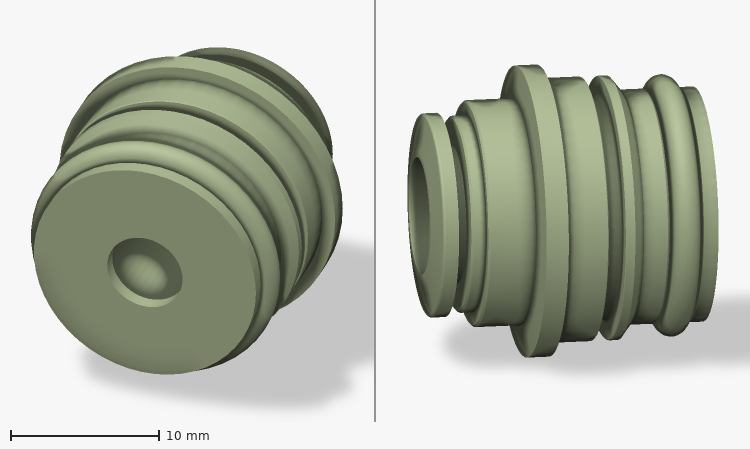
import cadquery as cq

LENGTH = 19.1

FRONT_DIA = 15.9
RING_GROOVE_DIA = 13.0
BODY_DIA = 17.9
BODY_GROOVE_DIA = 15.0
FLANGE_DIA = 19.75
SHOULDER_DIA = 15.35
COLLAR_DIA = 13.33
NECK_DIA = 9.35
CAP_DIA = 13.8
CAP_FLAT_DIA = 8.69
INLET_DIA = 5.4
BORE_DIA = 7.94

RING_GROOVE_START = 1.0
RING_GROOVE_END = 3.34
CONE_START = 5.12
CONE_END = 5.89
BODY_GROOVE_START = 6.54
BODY_GROOVE_END = 7.7
FLANGE_START = 10.63
FLANGE_RIM_END = 12.15
FLANGE_CONE_END = 12.48
SHOULDER_END = 15.72
COLLAR_END = 16.7
CAP_START = 17.62
CAP_RIM_END = 18.66
INLET_DEPTH = 1.0

EDGE_CHAMFER = 0.14
GROOVE_EDGE_CHAMFER = 0.05
GROOVE_FILLET = 0.28
NECK_FILLET = 0.34
CAP_FILLET = 0.2

RING_SECTION_DIA = 1.82
RING_CENTRE_RADIUS = 7.95

TOLERANCE = 0.002


def revolve_about_y(profile):
    """Turn a closed XY profile a full revolution about the Y axis."""
    return profile.revolve(360, (0, 0, 0), (0, 1, 0))


def cylinder(diameter, start, end):
    """Solid disc on the Y axis between two stations."""
    half_section = cq.Workplane("XY").moveTo(0, start).rect(diameter / 2, end - start, centered=False)
    return revolve_about_y(half_section)


class CircleAt(cq.Selector):
    """Select the circular edges with a given diameter at a given station."""

    def __init__(self, diameter, station):
        self.radius = diameter / 2
        self.station = station

    def filter(self, edges):
        return [edge for edge in edges if self.matches(edge)]

    def matches(self, edge):
        if edge.geomType() != "CIRCLE":
            return False
        same_radius = abs(edge.radius() - self.radius) < TOLERANCE
        same_station = abs(edge.arcCenter().y - self.station) < TOLERANCE
        return same_radius and same_station


def make_body():
    """Stepped outside of the fitting, with sharp edges."""
    steps = [
        (FRONT_DIA, 0),
        (FRONT_DIA, RING_GROOVE_START),
        (RING_GROOVE_DIA, RING_GROOVE_START),
        (RING_GROOVE_DIA, RING_GROOVE_END),
        (FRONT_DIA, RING_GROOVE_END),
        (FRONT_DIA, CONE_START),
        (BODY_DIA, CONE_END),
        (BODY_DIA, BODY_GROOVE_START),
        (BODY_GROOVE_DIA, BODY_GROOVE_START),
        (BODY_GROOVE_DIA, BODY_GROOVE_END),
        (BODY_DIA, BODY_GROOVE_END),
        (BODY_DIA, FLANGE_START),
        (FLANGE_DIA, FLANGE_START),
        (FLANGE_DIA, FLANGE_RIM_END),
        (SHOULDER_DIA, FLANGE_CONE_END),
        (SHOULDER_DIA, SHOULDER_END),
        (COLLAR_DIA, SHOULDER_END),
        (COLLAR_DIA, COLLAR_END),
        (NECK_DIA, COLLAR_END),
        (NECK_DIA, CAP_START),
        (CAP_DIA, CAP_START),
        (CAP_DIA, CAP_RIM_END),
        (CAP_FLAT_DIA, LENGTH),
    ]
    outline = [(0, 0)] + [(diameter / 2, station) for diameter, station in steps] + [(0, LENGTH)]
    return revolve_about_y(cq.Workplane("XY").polyline(outline).close())


def finish_edges(body):
    """Round the groove roots and the cap rim, and break the exposed corners."""
    fillets = [
        (RING_GROOVE_DIA, RING_GROOVE_START, GROOVE_FILLET),
        (RING_GROOVE_DIA, RING_GROOVE_END, GROOVE_FILLET),
        (BODY_GROOVE_DIA, BODY_GROOVE_START, GROOVE_FILLET),
        (BODY_GROOVE_DIA, BODY_GROOVE_END, GROOVE_FILLET),
        (NECK_DIA, CAP_START, NECK_FILLET),
        (CAP_DIA, CAP_RIM_END, CAP_FILLET),
    ]
    chamfers = [
        (FRONT_DIA, RING_GROOVE_END, EDGE_CHAMFER),
        (BODY_DIA, BODY_GROOVE_START, GROOVE_EDGE_CHAMFER),
        (BODY_DIA, BODY_GROOVE_END, GROOVE_EDGE_CHAMFER),
        (SHOULDER_DIA, SHOULDER_END, EDGE_CHAMFER),
        (COLLAR_DIA, COLLAR_END, EDGE_CHAMFER),
    ]
    for diameter, station, radius in fillets:
        body = body.edges(CircleAt(diameter, station)).fillet(radius)
    for diameter, station, size in chamfers:
        body = body.edges(CircleAt(diameter, station)).chamfer(size)
    return body


def make_ring():
    """Sealing ring with a round outer half, its flat sides reaching into the groove floor."""
    centre = (RING_GROOVE_START + RING_GROOVE_END) / 2
    half = RING_SECTION_DIA / 2
    root = RING_GROOVE_DIA / 2 - half
    profile = (
        cq.Workplane("XY")
        .moveTo(root, centre - half)
        .lineTo(RING_CENTRE_RADIUS, centre - half)
        .threePointArc((RING_CENTRE_RADIUS + half, centre), (RING_CENTRE_RADIUS, centre + half))
        .lineTo(root, centre + half)
        .close()
    )
    return revolve_about_y(profile)


def make_bore():
    """Narrow inlet at the front opening into the wider tube bore."""
    return cylinder(INLET_DIA, 0, INLET_DEPTH).union(cylinder(BORE_DIA, INLET_DEPTH, LENGTH))


result = finish_edges(make_body()).union(make_ring()).cut(make_bore())